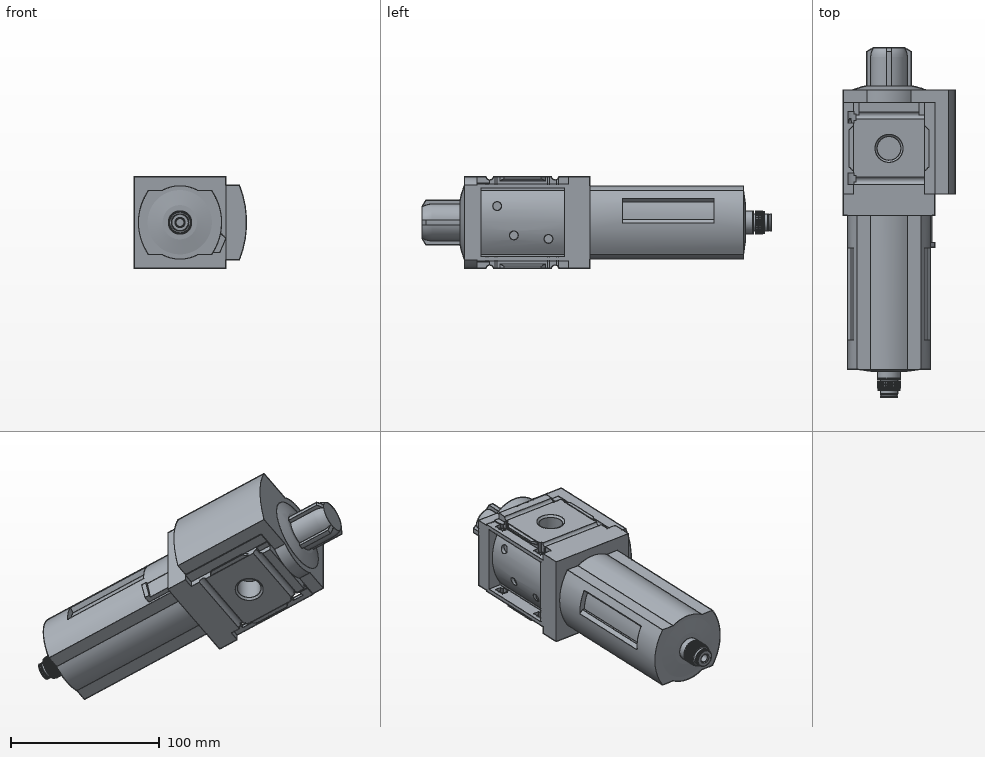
import cadquery as cq
import math


OVERALL_WIDTH = 75.8
OVERALL_LENGTH = 235.4

HEAD_WIDTH = 62.0
HEAD_HALF = HEAD_WIDTH / 2
HEAD_END = 76.0
REAR_END = 84.5
PLATE_START = 14.4
PLATE_HALF_HEIGHT = 25.2
PLATE_FLAT_X = 40.0
PLATE_CROWN_X = OVERALL_WIDTH - HEAD_HALF
BUMP_WIDTH = 30.0
BUMP_HALF_WIDTH = BUMP_WIDTH / 2

SLOT_WALL_X = 24.0
SLOT_FLOOR_Z = 26.0
NOTCH_WALL_X = 20.2
NOTCH_FLOOR_Z = 26.5
NOTCH_START = 67.5
WEDGE_REACH = 2.8
WEDGE_ROOT_HALF = 15.3
WEDGE_TOP_Z = 30.5
WEDGE_EDGE_Z = 29.5
WEDGE_ROOT_Z = 28.0

GROOVE_YS = (23.3, 67.3)
GROOVE_DIAMETER = 5.0
GROOVE_LIFT = 0.2
CLIP_YS = (24.7, 66.1)
CLIP_OUTER_X = 27.8
CLIP_INNER_X = 23.5
CLIP_LENGTH = 7.5
CLIP_RELIEF_X = 22.1
CLIP_RELIEF_LENGTH = 4.5

PORT_Y = (PLATE_START + HEAD_END) / 2
PORT_MOUTH_DIAMETER = 18.8
PORT_DIAMETER = 16.0
PORT_DEPTH = 18.8

POCKET_START = 17.0
POCKET_END = 73.2
POCKET_HALF_HEIGHT = 23.0
GAUGE_HOLES = ((27.8, -11.0), (51.0, -8.7), (62.4, 11.0))
GAUGE_HOLE_DIAMETER = 6.0
GAUGE_HOLE_FLOOR_X = 24.2

BOWL_LENGTH = 103.5
BOWL_CROWN_X = 28.0
BOWL_SIDE_RADIUS = 37.7
BOWL_FLAT_Z = 21.5
BOWL_FLAT_HALF_WIDTH = 21.5
BOWL_EDGE_Z = 20.7
BOWL_RIB_RADIUS = 24.7
BOWL_SIDE_CENTRE = BOWL_SIDE_RADIUS - BOWL_CROWN_X
END_CONE_RADIUS = 21.7
END_FACE_RADIUS = 11.5
END_CONE_HEIGHT = 1.5

WINDOW_START = -22.0
WINDOW_END = -83.8
WINDOW_BOTTOM_Z = -0.5
WINDOW_TOP_Z = 16.2
WINDOW_DEPTH = 3.8
WINDOW_LEDGE_X = 25.7
WINDOW_BEVEL = 2.4

LATCH_END = -21.5
LATCH_HOOK_LENGTH = 3.3
LATCH_TOP_Z = -7.0
LATCH_STRIP_CREST = (29.0, -9.6)
LATCH_STRIP_FOOT_X = 25.2
LATCH_HOOK_CREST = (30.8, -10.5)
LATCH_HOOK_FOOT_X = 26.8
LATCH_BOTTOM_Z = -20.2

KNOB_RIB_RADIUS = 15.0
KNOB_CORE_RADIUS = 12.5
KNOB_TIP_RADIUS = 10.5
KNOB_ROUND_START = 106.5
KNOB_END = 113.0
KNOB_RIB_END = 110.5
KNOB_RIB_WIDTH = 3.3
KNOB_RIB_COUNT = 4
DOME_RADIUS = 25.0
DOME_HEIGHT = 2.8
DOME_MID_RADIUS = 20.2
DOME_MID_HEIGHT = 1.6

DRAIN_START = -(BOWL_LENGTH + END_CONE_HEIGHT)
DRAIN_END = KNOB_END - OVERALL_LENGTH
DRAIN_DIAMETER = 15.8
DRAIN_NECK_DIAMETER = 11.8
DRAIN_TIP_DIAMETER = 11.5
DRAIN_RING_DIAMETER = 11.0
DRAIN_NECK_START = -110.5
DRAIN_GRIP_START = -111.5
DRAIN_GRIP_STEP = -116.3
DRAIN_GRIP_END = -117.7
DRAIN_GRIP_END_DIAMETER = 15.0
DRAIN_TIP_START = -119.8
DRAIN_RING_START = -120.5
DRAIN_RING_END = -121.5
KNURL_START = -109.5
KNURL_COUNT = 30
KNURL_DEPTH = 1.0
KNURL_WIDTH = 0.7
GRIP_GROOVE_YS = (-113.7, -115.5)
GRIP_GROOVE_WIDTH = 0.5
GRIP_GROOVE_DEPTH = 0.2
DRAIN_BORE_DIAMETER = 5.5
DRAIN_BORE_MOUTH_DIAMETER = 6.8
DRAIN_BORE_DEPTH = 11.8


def block(x_range, y_range, z_range):
    """Box between two limits on each axis, given in either order."""
    spans = [(min(limits), max(limits)) for limits in (x_range, y_range, z_range)]
    sizes = [high - low for low, high in spans]
    corner = cq.Vector(*[low for low, high in spans])
    return cq.Workplane("XY").box(*sizes, centered=False).translate(corner)


def along_y(outline, start, end):
    """Extrude an outline drawn in X and Z from start down to end along Y."""
    return outline.extrude(start - end).translate((0, start, 0))


def cylinder_y(radius, start, end):
    return along_y(cq.Workplane("XZ").circle(radius), max(start, end), min(start, end))


def turned(outline):
    """Revolve an outline drawn as radius and Y about the Y axis."""
    return outline.close().revolve(360, (0, 0), (0, 1))


def above_and_below(shape):
    return shape.union(shape.mirror("XY"))


def both_sides(shape):
    return shape.union(shape.mirror("YZ"))


def side_x(z, radius=BOWL_SIDE_RADIUS):
    """Half width of the crowned bowl side at height z."""
    return math.sqrt(radius**2 - z**2) - BOWL_SIDE_CENTRE


def bowl_prism(start, end):
    edge_x = side_x(BOWL_EDGE_Z)
    sides = (
        cq.Workplane("XZ")
        .moveTo(-BOWL_FLAT_HALF_WIDTH, BOWL_FLAT_Z)
        .lineTo(BOWL_FLAT_HALF_WIDTH, BOWL_FLAT_Z)
        .lineTo(edge_x, BOWL_EDGE_Z)
        .threePointArc((BOWL_CROWN_X, 0), (edge_x, -BOWL_EDGE_Z))
        .lineTo(BOWL_FLAT_HALF_WIDTH, -BOWL_FLAT_Z)
        .lineTo(-BOWL_FLAT_HALF_WIDTH, -BOWL_FLAT_Z)
        .lineTo(-edge_x, -BOWL_EDGE_Z)
        .threePointArc((-BOWL_CROWN_X, 0), (-edge_x, BOWL_EDGE_Z))
        .close()
    )
    return along_y(sides, start, end).union(cylinder_y(BOWL_RIB_RADIUS, start, end))



def slot_cut():
    """Edge slot and the wider, shallower notch at its rear end, for one of the four long edges."""
    slot = block((SLOT_WALL_X, HEAD_HALF), (PLATE_START, HEAD_END), (SLOT_FLOOR_Z, HEAD_HALF))
    notch = block((NOTCH_WALL_X, HEAD_HALF), (NOTCH_START, HEAD_END), (NOTCH_FLOOR_Z, HEAD_HALF))
    return slot.union(notch)


def wedge():
    """Connector lip on a slot wall, bevelled at both ends and underneath."""
    tip_x = SLOT_WALL_X + WEDGE_REACH
    section = (
        cq.Workplane("XZ")
        .moveTo(SLOT_WALL_X, WEDGE_ROOT_Z)
        .lineTo(tip_x, WEDGE_EDGE_Z)
        .lineTo(tip_x, WEDGE_TOP_Z)
        .lineTo(SLOT_WALL_X, WEDGE_TOP_Z)
        .close()
    )
    bar = along_y(section, PORT_Y + WEDGE_ROOT_HALF, PORT_Y - WEDGE_ROOT_HALF)
    tip_half = WEDGE_ROOT_HALF - WEDGE_REACH
    plan = (
        cq.Workplane("XY")
        .moveTo(SLOT_WALL_X, PORT_Y - WEDGE_ROOT_HALF)
        .lineTo(tip_x, PORT_Y - tip_half)
        .lineTo(tip_x, PORT_Y + tip_half)
        .lineTo(SLOT_WALL_X, PORT_Y + WEDGE_ROOT_HALF)
        .close()
        .extrude(HEAD_HALF)
    )
    return bar.intersect(plan)


def groove_cut(y):
    groove = cq.Workplane("YZ").center(y, HEAD_HALF + GROOVE_LIFT).circle(GROOVE_DIAMETER / 2)
    return groove.extrude(SLOT_WALL_X, both=True)


def clip_cut(y):
    """Opening from a -X slot into the side pocket, with a relief in the slot wall."""
    depth = (POCKET_HALF_HEIGHT, HEAD_HALF)
    half = CLIP_LENGTH / 2
    relief_half = CLIP_RELIEF_LENGTH / 2
    opening = block((-CLIP_OUTER_X, -CLIP_INNER_X), (y - half, y + half), depth)
    relief = block((-CLIP_INNER_X, -CLIP_RELIEF_X), (y - relief_half, y + relief_half), depth)
    return opening.union(relief)


def port_cut():
    mouth_radius = PORT_MOUTH_DIAMETER / 2
    bore_radius = PORT_DIAMETER / 2
    return (
        cq.Workplane("XZ")
        .moveTo(0, HEAD_HALF)
        .lineTo(mouth_radius, HEAD_HALF)
        .lineTo(bore_radius, HEAD_HALF - (mouth_radius - bore_radius))
        .lineTo(bore_radius, HEAD_HALF - PORT_DEPTH)
        .lineTo(0, HEAD_HALF - PORT_DEPTH)
        .close()
        .revolve(360, (0, 0), (0, 1))
        .translate((0, PORT_Y, 0))
    )


def pocket_cut():
    """Side pocket whose floor follows the bowl section."""
    height = (-POCKET_HALF_HEIGHT, POCKET_HALF_HEIGHT)
    opening = block((-HEAD_HALF, -BOWL_FLAT_HALF_WIDTH), (POCKET_START, POCKET_END), height)
    return opening.cut(bowl_prism(POCKET_END, POCKET_START))


def gauge_holes_cut():
    holes = cq.Workplane("YZ", origin=(-GAUGE_HOLE_FLOOR_X, 0, 0)).pushPoints(GAUGE_HOLES)
    return holes.circle(GAUGE_HOLE_DIAMETER / 2).extrude(GAUGE_HOLE_FLOOR_X - HEAD_HALF)


def side_and_rear_plates():
    section = (
        cq.Workplane("XZ")
        .moveTo(HEAD_HALF, -PLATE_HALF_HEIGHT)
        .lineTo(PLATE_FLAT_X, -PLATE_HALF_HEIGHT)
        .threePointArc((PLATE_CROWN_X, 0), (PLATE_FLAT_X, PLATE_HALF_HEIGHT))
        .lineTo(HEAD_HALF, PLATE_HALF_HEIGHT)
        .close()
    )
    side = along_y(section, REAR_END, PLATE_START)
    height = (-PLATE_HALF_HEIGHT, PLATE_HALF_HEIGHT)
    rear = block((-HEAD_HALF, HEAD_HALF), (HEAD_END, REAR_END), height)
    bump = (
        cq.Workplane("XZ")
        .moveTo(-BUMP_HALF_WIDTH, 0)
        .lineTo(-BUMP_HALF_WIDTH, PLATE_HALF_HEIGHT)
        .threePointArc((0, HEAD_HALF), (BUMP_HALF_WIDTH, PLATE_HALF_HEIGHT))
        .lineTo(BUMP_HALF_WIDTH, 0)
        .close()
    )
    bumps = above_and_below(along_y(bump, REAR_END, HEAD_END))
    return side.union(rear).union(bumps)


def head():
    width = (-HEAD_HALF, HEAD_HALF)
    body = block(width, (0, HEAD_END), width)
    body = body.cut(above_and_below(both_sides(slot_cut())))
    body = body.union(above_and_below(both_sides(wedge())))
    for y in GROOVE_YS:
        body = body.cut(above_and_below(groove_cut(y)))
    for y in CLIP_YS:
        body = body.cut(above_and_below(clip_cut(y)))
    body = body.cut(above_and_below(port_cut()))
    body = body.cut(pocket_cut()).cut(gauge_holes_cut())
    return body.union(side_and_rear_plates())



def knob():
    dome_top = REAR_END + DOME_HEIGHT
    dome = turned(
        cq.Workplane("XY")
        .moveTo(0, REAR_END)
        .lineTo(DOME_RADIUS, REAR_END)
        .threePointArc((DOME_MID_RADIUS, REAR_END + DOME_MID_HEIGHT), (KNOB_RIB_RADIUS, dome_top))
        .lineTo(0, dome_top)
    )
    core = turned(
        cq.Workplane("XY")
        .moveTo(0, REAR_END)
        .lineTo(KNOB_CORE_RADIUS, REAR_END)
        .lineTo(KNOB_CORE_RADIUS, KNOB_ROUND_START)
        .tangentArcPoint((KNOB_TIP_RADIUS, KNOB_END), relative=False)
        .lineTo(0, KNOB_END)
    )
    rib_envelope = turned(
        cq.Workplane("XY")
        .moveTo(0, REAR_END)
        .lineTo(KNOB_RIB_RADIUS, REAR_END)
        .lineTo(KNOB_RIB_RADIUS, KNOB_RIB_END)
        .lineTo(KNOB_TIP_RADIUS, KNOB_END)
        .lineTo(0, KNOB_END)
    )
    body = dome.union(core)
    half = KNOB_RIB_WIDTH / 2
    for index in range(KNOB_RIB_COUNT):
        rib = block((0, KNOB_RIB_RADIUS), (REAR_END, KNOB_END), (-half, half))
        rib = rib.rotate((0, 0, 0), (0, 1, 0), index * 360 / KNOB_RIB_COUNT)
        body = body.union(rib.intersect(rib_envelope))
    return body



def window_cut():
    """Bevelled window in the +X side, with a floor parallel to the crowned side."""
    floor_radius = BOWL_SIDE_RADIUS - WINDOW_DEPTH
    floor_bottom_z = WINDOW_BOTTOM_Z + WINDOW_BEVEL
    floor_top_z = WINDOW_TOP_Z - WINDOW_BEVEL
    floor_mid_z = (floor_bottom_z + floor_top_z) / 2
    section = (
        cq.Workplane("XZ")
        .moveTo(HEAD_HALF, WINDOW_BOTTOM_Z)
        .lineTo(side_x(WINDOW_BOTTOM_Z), WINDOW_BOTTOM_Z)
        .lineTo(WINDOW_LEDGE_X, floor_bottom_z)
        .lineTo(side_x(floor_bottom_z, floor_radius), floor_bottom_z)
        .threePointArc(
            (side_x(floor_mid_z, floor_radius), floor_mid_z),
            (side_x(floor_top_z, floor_radius), floor_top_z),
        )
        .lineTo(side_x(WINDOW_TOP_Z), WINDOW_TOP_Z)
        .lineTo(HEAD_HALF, WINDOW_TOP_Z)
        .close()
    )
    return along_y(section, WINDOW_START, WINDOW_END)


def latch_bar(crest, foot_x, start, end):
    """Bar on the bowl side with a bevelled top and an outer face sloping from crest to foot."""
    section = (
        cq.Workplane("XZ")
        .moveTo(BOWL_FLAT_HALF_WIDTH, LATCH_TOP_Z)
        .lineTo(side_x(LATCH_TOP_Z), LATCH_TOP_Z)
        .lineTo(*crest)
        .lineTo(foot_x, LATCH_BOTTOM_Z)
        .lineTo(BOWL_FLAT_HALF_WIDTH, LATCH_BOTTOM_Z)
        .close()
    )
    return along_y(section, start, end)


def bowl_end():
    return turned(
        cq.Workplane("XY")
        .moveTo(0, -BOWL_LENGTH)
        .lineTo(END_CONE_RADIUS, -BOWL_LENGTH)
        .lineTo(END_FACE_RADIUS, DRAIN_START)
        .lineTo(0, DRAIN_START)
    )


def bowl():
    body = bowl_prism(0, -BOWL_LENGTH).union(bowl_end())
    body = body.cut(both_sides(window_cut()))
    hook_start = LATCH_END + LATCH_HOOK_LENGTH
    body = body.union(latch_bar(LATCH_STRIP_CREST, LATCH_STRIP_FOOT_X, 0, LATCH_END))
    return body.union(latch_bar(LATCH_HOOK_CREST, LATCH_HOOK_FOOT_X, hook_start, LATCH_END))



def knurl_cut():
    """One lengthwise knurl flute at the +X side of the screw."""
    outer = DRAIN_DIAMETER / 2
    half = KNURL_WIDTH / 2
    return block((outer - KNURL_DEPTH, outer), (KNURL_START, DRAIN_GRIP_END), (-half, half))


def grip_groove_cut(y):
    outer = DRAIN_DIAMETER / 2
    half = GRIP_GROOVE_WIDTH / 2
    ring = cylinder_y(outer, y - half, y + half)
    return ring.cut(cylinder_y(outer - GRIP_GROOVE_DEPTH, y - half, y + half))


def drain_bore_cut():
    radius = DRAIN_BORE_DIAMETER / 2
    mouth_radius = DRAIN_BORE_MOUTH_DIAMETER / 2
    return turned(
        cq.Workplane("XY")
        .moveTo(0, DRAIN_END)
        .lineTo(mouth_radius, DRAIN_END)
        .lineTo(radius, DRAIN_END + mouth_radius - radius)
        .lineTo(radius, DRAIN_END + DRAIN_BORE_DEPTH)
        .lineTo(0, DRAIN_END + DRAIN_BORE_DEPTH)
    )


def drain():
    steps = (
        (DRAIN_DIAMETER, DRAIN_START, DRAIN_NECK_START),
        (DRAIN_NECK_DIAMETER, DRAIN_NECK_START, DRAIN_GRIP_START),
        (DRAIN_DIAMETER, DRAIN_GRIP_START, DRAIN_GRIP_STEP),
        (DRAIN_GRIP_END_DIAMETER, DRAIN_GRIP_STEP, DRAIN_GRIP_END),
        (DRAIN_NECK_DIAMETER, DRAIN_GRIP_END, DRAIN_TIP_START),
        (DRAIN_TIP_DIAMETER, DRAIN_TIP_START, DRAIN_RING_START),
        (DRAIN_RING_DIAMETER, DRAIN_RING_START, DRAIN_RING_END),
        (DRAIN_TIP_DIAMETER, DRAIN_RING_END, DRAIN_END),
    )
    outline = cq.Workplane("XY").moveTo(0, DRAIN_START)
    for diameter, start, end in steps:
        outline = outline.lineTo(diameter / 2, start).lineTo(diameter / 2, end)
    body = turned(outline.lineTo(0, DRAIN_END))
    for index in range(KNURL_COUNT):
        angle = index * 360 / KNURL_COUNT
        body = body.cut(knurl_cut().rotate((0, 0, 0), (0, 1, 0), angle))
    for y in GRIP_GROOVE_YS:
        body = body.cut(grip_groove_cut(y))
    return body.cut(drain_bore_cut())


housing = head().union(knob()).union(bowl())
drain_screw = drain()

result = cq.Compound.makeCompound([housing.val(), drain_screw.val()])